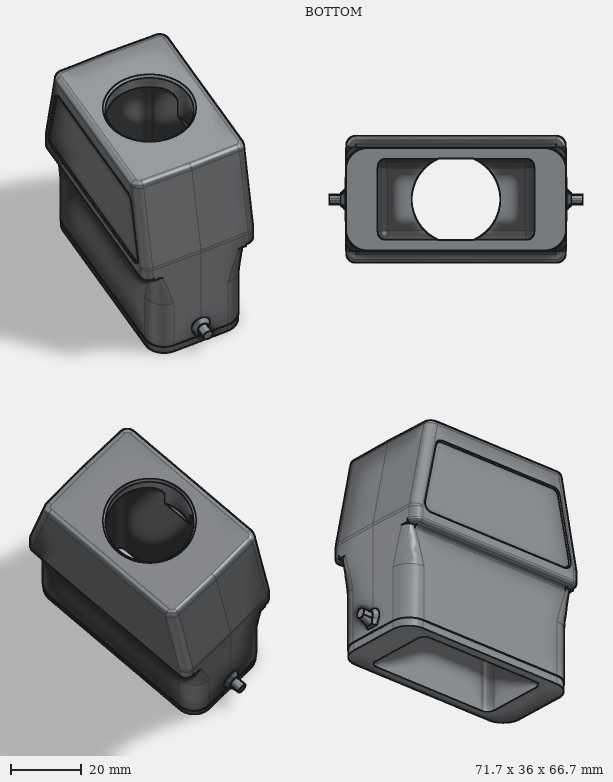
import cadquery as cq
import math

PIN_SPAN = 71.7
DEPTH = 36.0
HEIGHT = 66.7

HALF_LENGTH = 31.35
PEAK = 0.3
ROOF_HALF_LENGTH = 25.5
SLOPE_START_Z = 37.1
SLOPE_BLEND_RADIUS = 5.0
BEND_PICK_BAND = 0.1
UPPER_CORNER_RADIUS = 2.8
ROOF_EDGE_RADIUS = 1.75

LEDGE_Z = 32.0
LEDGE_EDGE_RADIUS = 1.1
LEDGE_ROOT_RADIUS = 0.9

SKIRT_DEPTH = 29.4
SKIRT_TOP_Z = 36.0
SKIRT_CORNER_RADIUS = 6.2
CORNER_TIGHTENING = [(20.0, SKIRT_CORNER_RADIUS), (26.0, 4.6), (LEDGE_Z, 2.6)]
CORNER_CLEARANCE = 1.0
RIM_HEIGHT = 2.6
RIM_INSET = 0.25

PANEL_TOP_Z = 60.4
PANEL_BOTTOM_Z = 35.8
PANEL_TOP_HALF_WIDTH = 22.9
PANEL_BOTTOM_HALF_WIDTH = 28.0
PANEL_CORNER_RADIUS = 2.5
PANEL_DEPTH = 0.4
PANEL_WALL_TAPER = 45.0

ENTRY_DIAMETER = 25.0
ENTRY_CHAMFER = 0.7
ENTRY_FLOOR_Z = 53.4
CAVITY_LENGTH = 44.4
CAVITY_WIDTH = 23.0
CAVITY_TOP_Z = 62.2
CAVITY_TOP_RADIUS = 2.7
CAVITY_CORNER_RADIUS = 2.4

PIN_DIAMETER = 3.0
PIN_Z = 6.95
PIN_EMBED = 1.0
COLLAR_BASE_DIAMETER = 5.8
COLLAR_TIP_DIAMETER = 3.4
COLLAR_HEIGHT = 1.3
PIN_WEB_WIDTH = 2.4
PIN_WEB_EDGE_RADIUS = 0.9
FOOT_BOTTOM_Z = 4.0
FOOT_BASE_WIDTH = 4.2


def end_fall(half_depth):
    """Distance the end wall drops back from its peak at a given |Y|."""
    return PEAK * half_depth / (DEPTH / 2)


def peaked_outline(half_length, half_depth):
    """Rectangle whose two ends come to a shallow point at Y = 0."""
    corner_x = half_length - end_fall(half_depth)
    return [
        (half_length, 0),
        (corner_x, half_depth),
        (-corner_x, half_depth),
        (-half_length, 0),
        (-corner_x, -half_depth),
        (corner_x, -half_depth),
    ]


def peaked_prism(half_length, half_depth, bottom_z, top_z):
    outline = peaked_outline(half_length, half_depth)
    return cq.Workplane("XY", origin=(0, 0, bottom_z)).polyline(outline).close().extrude(top_z - bottom_z)


def make_upper_hood():
    half_depth = DEPTH / 2
    base = peaked_prism(HALF_LENGTH, half_depth, LEDGE_Z, SLOPE_START_Z)
    sloped = (
        cq.Workplane("XY", origin=(0, 0, SLOPE_START_Z))
        .polyline(peaked_outline(HALF_LENGTH, half_depth)).close()
        .workplane(offset=HEIGHT - SLOPE_START_Z)
        .polyline(peaked_outline(ROOF_HALF_LENGTH, half_depth)).close()
        .loft(ruled=True)
    )
    hood = base.union(sloped)
    bend_edges = cq.selectors.BoxSelector(
        (-PIN_SPAN / 2, -DEPTH, SLOPE_START_Z - BEND_PICK_BAND),
        (PIN_SPAN / 2, DEPTH, SLOPE_START_Z + BEND_PICK_BAND),
    )
    hood = hood.edges(bend_edges).fillet(SLOPE_BLEND_RADIUS)
    for side in ("<Y", ">Y"):
        hood = hood.faces(side).edges("not #Z").fillet(UPPER_CORNER_RADIUS)
    hood = hood.faces(">Z").edges().fillet(ROOF_EDGE_RADIUS)
    return hood.faces("<Z").edges().fillet(LEDGE_EDGE_RADIUS)


def corner_section(plane_z, radius):
    """Region between the sharp (+X, +Y) skirt corner and its rounding arc."""
    half_depth = SKIRT_DEPTH / 2
    corner_x = HALF_LENGTH - end_fall(half_depth)
    lean = math.atan2(PEAK, DEPTH / 2)
    tangent_length = radius * math.tan((math.pi / 2 - lean) / 2)
    face_point = (corner_x - tangent_length, half_depth)
    wall_point = (
        corner_x + tangent_length * math.sin(lean),
        half_depth - tangent_length * math.cos(lean),
    )
    arc_center = (face_point[0], half_depth - radius)
    mid_angle = (math.pi / 2 + lean) / 2
    arc_middle = (
        arc_center[0] + radius * math.cos(mid_angle),
        arc_center[1] + radius * math.sin(mid_angle),
    )
    outer_x = HALF_LENGTH + CORNER_CLEARANCE
    outer_y = half_depth + CORNER_CLEARANCE
    return (
        cq.Workplane("XY", origin=(0, 0, plane_z))
        .moveTo(*face_point)
        .lineTo(face_point[0], outer_y)
        .lineTo(outer_x, outer_y)
        .lineTo(outer_x, wall_point[1])
        .lineTo(*wall_point)
        .threePointArc(arc_middle, face_point)
        .close()
    )


def make_corner_cutter():
    """Cutter for the (+X, +Y) skirt corner: constant rounding, then tightening."""
    straight_top_z = CORNER_TIGHTENING[0][0]
    straight = corner_section(0, SKIRT_CORNER_RADIUS).extrude(straight_top_z)
    sections = [corner_section(z, radius).val() for z, radius in CORNER_TIGHTENING]
    return straight.union(cq.Workplane(cq.Solid.makeLoft(sections)))


def make_skirt():
    skirt = peaked_prism(HALF_LENGTH, SKIRT_DEPTH / 2, RIM_HEIGHT, SKIRT_TOP_Z)
    right = make_corner_cutter()
    left = right.mirror("YZ")
    for corner in (right, left, right.mirror("XZ"), left.mirror("XZ")):
        skirt = skirt.cut(corner)
    return skirt


def make_rim():
    length = 2 * (HALF_LENGTH - RIM_INSET)
    width = SKIRT_DEPTH - 2 * RIM_INSET
    return (
        cq.Workplane("XY")
        .rect(length, width)
        .extrude(RIM_HEIGHT)
        .edges("|Z").fillet(SKIRT_CORNER_RADIUS - RIM_INSET)
    )


def make_ledge_root(side):
    """Concave fillet under the ledge along one long face (side is -1 or +1)."""
    wall_y = side * SKIRT_DEPTH / 2
    outer_y = wall_y + side * LEDGE_ROOT_RADIUS
    lower_z = LEDGE_Z - LEDGE_ROOT_RADIUS
    bulge = LEDGE_ROOT_RADIUS * (1 - math.sqrt(0.5))
    half_length = HALF_LENGTH - end_fall(DEPTH / 2) - UPPER_CORNER_RADIUS
    return (
        cq.Workplane("YZ", origin=(-half_length, 0, 0))
        .moveTo(wall_y - side * LEDGE_ROOT_RADIUS, lower_z)
        .lineTo(wall_y, lower_z)
        .threePointArc((wall_y + side * bulge, LEDGE_Z - bulge), (outer_y, LEDGE_Z))
        .lineTo(wall_y - side * LEDGE_ROOT_RADIUS, LEDGE_Z)
        .close()
        .extrude(2 * half_length)
    )


def make_panel_recess():
    outline = [
        (-PANEL_BOTTOM_HALF_WIDTH, PANEL_BOTTOM_Z),
        (PANEL_BOTTOM_HALF_WIDTH, PANEL_BOTTOM_Z),
        (PANEL_TOP_HALF_WIDTH, PANEL_TOP_Z),
        (-PANEL_TOP_HALF_WIDTH, PANEL_TOP_Z),
    ]
    rounded = cq.Sketch().polygon(outline + outline[:1]).vertices().fillet(PANEL_CORNER_RADIUS)
    return (
        cq.Workplane("XZ", origin=(0, -DEPTH / 2, 0))
        .placeSketch(rounded)
        .extrude(-PANEL_DEPTH, taper=PANEL_WALL_TAPER)
    )


def make_cavity():
    return (
        cq.Workplane("XY")
        .rect(CAVITY_LENGTH, CAVITY_WIDTH)
        .extrude(CAVITY_TOP_Z)
        .edges("|Z").fillet(CAVITY_CORNER_RADIUS)
        .faces(">Z").edges().fillet(CAVITY_TOP_RADIUS)
    )


def make_cable_entry():
    """Bore that also scallops the long cavity walls down to its floor."""
    radius = ENTRY_DIAMETER / 2
    bore = (
        cq.Workplane("XY", origin=(0, 0, ENTRY_FLOOR_Z))
        .circle(radius)
        .extrude(HEIGHT - ENTRY_FLOOR_Z)
    )
    chamfer_base = cq.Vector(0, 0, HEIGHT - ENTRY_CHAMFER)
    chamfer = cq.Solid.makeCone(radius, radius + ENTRY_CHAMFER, ENTRY_CHAMFER, chamfer_base)
    return bore.union(cq.Workplane(chamfer))


def foot_outline(top_width, bottom_width):
    return [
        (-top_width / 2, PIN_Z),
        (top_width / 2, PIN_Z),
        (bottom_width / 2, FOOT_BOTTOM_Z),
        (-bottom_width / 2, FOOT_BOTTOM_Z),
    ]


def make_locking_pin():
    """Pin on the +X end wall, with a conical collar on a foot and a tapering web below."""
    root_x = HALF_LENGTH - PIN_EMBED
    tip_x = PIN_SPAN / 2
    collar_x = HALF_LENGTH + COLLAR_HEIGHT
    pin = (
        cq.Workplane("YZ", origin=(root_x, 0, PIN_Z))
        .circle(PIN_DIAMETER / 2)
        .extrude(tip_x - root_x)
    )
    collar = (
        cq.Workplane("XZ")
        .moveTo(root_x, 0)
        .lineTo(root_x, COLLAR_BASE_DIAMETER / 2)
        .lineTo(HALF_LENGTH, COLLAR_BASE_DIAMETER / 2)
        .lineTo(collar_x, COLLAR_TIP_DIAMETER / 2)
        .lineTo(collar_x, 0)
        .close()
        .revolve(360, (0, 0, 0), (1, 0, 0))
        .translate((0, 0, PIN_Z))
    )
    web = (
        cq.Workplane("XZ")
        .moveTo(root_x, PIN_Z)
        .lineTo(root_x, FOOT_BOTTOM_Z)
        .lineTo(collar_x, FOOT_BOTTOM_Z)
        .lineTo(tip_x, PIN_Z - PIN_DIAMETER / 2)
        .lineTo(tip_x, PIN_Z)
        .close()
        .extrude(PIN_WEB_WIDTH / 2, both=True)
    )
    sloped_side = cq.selectors.BoxSelector(
        (collar_x, -PIN_WEB_WIDTH, FOOT_BOTTOM_Z),
        (tip_x, PIN_WEB_WIDTH, PIN_Z - PIN_DIAMETER / 2),
    )
    web = web.edges(sloped_side).edges("not(|X or |Y or |Z)").fillet(PIN_WEB_EDGE_RADIUS)
    foot = (
        cq.Workplane("YZ", origin=(HALF_LENGTH, 0, 0))
        .polyline(foot_outline(COLLAR_BASE_DIAMETER, FOOT_BASE_WIDTH)).close()
        .workplane(offset=COLLAR_HEIGHT)
        .polyline(foot_outline(COLLAR_TIP_DIAMETER, PIN_WEB_WIDTH)).close()
        .loft(ruled=True)
    )
    below_foot = cq.Workplane("XY", origin=(HALF_LENGTH, 0, 0)).box(
        COLLAR_BASE_DIAMETER, COLLAR_BASE_DIAMETER, FOOT_BOTTOM_Z, centered=(True, True, False)
    )
    return pin.union(collar).union(web).union(foot).cut(below_foot)


result = make_upper_hood().union(make_skirt()).union(make_rim())
for face_side in (-1, 1):
    result = result.union(make_ledge_root(face_side))
result = result.cut(make_panel_recess()).cut(make_cavity()).cut(make_cable_entry())
locking_pin = make_locking_pin()
result = result.union(locking_pin).union(locking_pin.mirror("YZ"))